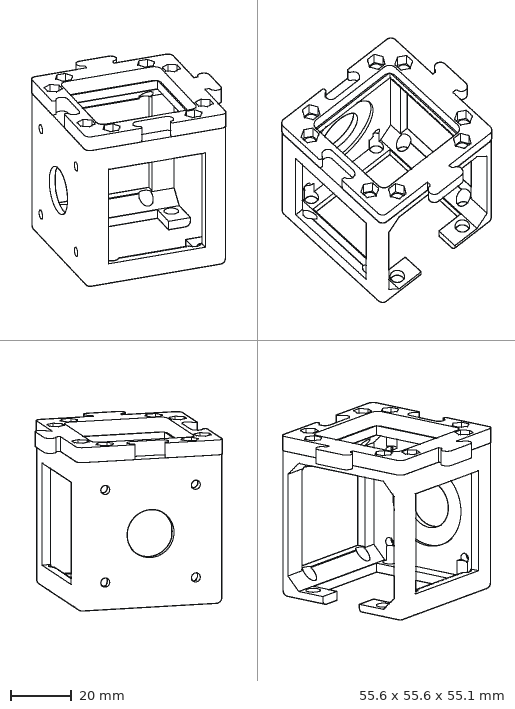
import cadquery as cq
import math

BODY_WIDTH = 49.8
HALF_BODY = BODY_WIDTH / 2
BODY_TOP = 25.1
BODY_BOTTOM = -25.0
EDGE_RADIUS = 2.0
WALL = 3.0

CAVITY_WIDTH = BODY_WIDTH - 2 * WALL
CAVITY_CHAMFER = 4.5

WINDOW_WIDTH = 34.2
REAR_GAP_WIDTH = 15.0

SHAFT_DIAMETER = 16.0
PILOT_DIAMETER = 28.0
MOTOR_SCREW_DIAMETER = 3.0
MOTOR_SCREW_SPACING = 31.0
PILOT_DEPTH = 1.0

PLATE_WIDTH = 50.0
PLATE_THICKNESS = 5.0
PLATE_OPENING = 35.2
PLATE_OPENING_RADIUS = 2.5
PLATE_EDGE_RADIUS = 2.0

TAB_LENGTH = 5.6
TAB_HEAD_WIDTH = 14.1
TAB_NECK_WIDTH = 9.7
TAB_NECK_FILLET = 0.6
SOCKET_DEPTH = 5.4
SOCKET_NECK_WIDTH = 10.4
SOCKET_NECK_FILLET = 0.5
SOCKET_MOUTH_RADIUS = 0.5
HEAD_RADIUS = 2.0

FASTENER_DIAMETER = 4.7
FASTENER_OFFSET = 20.9
FASTENER_SPACING = 29.0
FASTENER_DEPTH = 8.0
DRILL_POINT_ANGLE = 118.0
NUT_CORNER_DIAMETER = 6.0


def box_between(x_range, y_range, z_range):
    """Axis-aligned box given by its limits."""
    size = [high - low for low, high in (x_range, y_range, z_range)]
    corner = (x_range[0], y_range[0], z_range[0])
    return cq.Workplane("XY").box(*size, centered=False).translate(corner)


def make_body():
    height = BODY_TOP - BODY_BOTTOM
    block = cq.Workplane("XY").workplane(offset=BODY_BOTTOM).rect(BODY_WIDTH, BODY_WIDTH).extrude(height)
    return block.edges("|Z").fillet(EDGE_RADIUS).faces("<Z").edges().fillet(EDGE_RADIUS)


def make_cavity():
    tunnel = cq.Workplane("XY").box(CAVITY_WIDTH, BODY_WIDTH, CAVITY_WIDTH)
    return tunnel.edges("|Y").chamfer(CAVITY_CHAMFER).translate((0, WALL, 0))


def make_windows():
    """Openings through both X walls, through floor and ceiling, and the gap in the rear of the floor."""
    half = WINDOW_WIDTH / 2
    side = cq.Workplane("XY").box(2 * BODY_WIDTH, WINDOW_WIDTH, WINDOW_WIDTH)
    vertical = cq.Workplane("XY").box(WINDOW_WIDTH, WINDOW_WIDTH, 2 * BODY_WIDTH)
    half_gap = REAR_GAP_WIDTH / 2
    gap = box_between((-half_gap, half_gap), (0, HALF_BODY), (BODY_BOTTOM, -half))
    return side.union(vertical).union(gap)


def motor_bore(diameter, points, start_y):
    """Bores along +Y beginning at start_y."""
    plane = cq.Workplane("XZ", origin=(0, start_y, 0))
    return plane.pushPoints(points).circle(diameter / 2).extrude(-WALL)


def make_motor_mount():
    """Shaft hole with its pilot recess on the inside, and four screw holes."""
    half = MOTOR_SCREW_SPACING / 2
    screws = [(x, z) for x in (-half, half) for z in (-half, half)]
    pilot_y = -HALF_BODY + WALL - PILOT_DEPTH
    cut = motor_bore(SHAFT_DIAMETER, [(0, 0)], -HALF_BODY)
    cut = cut.union(motor_bore(PILOT_DIAMETER, [(0, 0)], pilot_y))
    return cut.union(motor_bore(MOTOR_SCREW_DIAMETER, screws, -HALF_BODY))


def dovetail(length, neck_width, neck_fillet, mouth_radius=0.0):
    """Mushroom shape that grows from y = 0 to y = length, with a filleted neck and a round-ended head.

    A mouth radius flares the start of the neck, to round the lips of a socket.
    """
    neck = neck_width / 2
    arc_x = TAB_HEAD_WIDTH / 2 - HEAD_RADIUS
    arc_y = length - HEAD_RADIUS
    fillet_x = neck + neck_fillet
    reach = HEAD_RADIUS + neck_fillet
    fillet_y = arc_y - math.sqrt(reach ** 2 - (fillet_x - arc_x) ** 2)
    touch_x = arc_x + (fillet_x - arc_x) * HEAD_RADIUS / reach
    touch_y = arc_y + (fillet_y - arc_y) * HEAD_RADIUS / reach
    turn = math.atan2(arc_y - fillet_y, arc_x - fillet_x)
    mid_angle = (turn + math.pi) / 2
    mid_x = fillet_x + neck_fillet * math.cos(mid_angle)
    mid_y = fillet_y + neck_fillet * math.sin(mid_angle)
    outline = cq.Workplane("XY", origin=(0, 0, BODY_TOP)).lineTo(neck + mouth_radius, 0)
    if mouth_radius > 0:
        mouth_inset = mouth_radius * (1 - math.sqrt(0.5))
        outline = outline.threePointArc((neck + mouth_inset, mouth_inset), (neck, mouth_radius))
    outline = (
        outline.lineTo(neck, fillet_y)
        .threePointArc((mid_x, mid_y), (touch_x, touch_y))
        .threePointArc((arc_x + HEAD_RADIUS, arc_y), (arc_x, length))
        .lineTo(0, length)
        .close()
    )
    right_half = outline.extrude(PLATE_THICKNESS)
    return right_half.union(right_half.mirror("YZ"))


def make_plate():
    """Square frame with tabs on +Y and -X and matching sockets on -Y and +X."""
    half_plate = PLATE_WIDTH / 2
    base = cq.Workplane("XY", origin=(0, 0, BODY_TOP))
    plate = base.rect(PLATE_WIDTH, PLATE_WIDTH).extrude(PLATE_THICKNESS)
    plate = plate.edges("|Z").fillet(PLATE_EDGE_RADIUS)
    opening = base.rect(PLATE_OPENING, PLATE_OPENING).extrude(PLATE_THICKNESS)
    plate = plate.cut(opening.edges("|Z").fillet(PLATE_OPENING_RADIUS))
    tab = dovetail(TAB_LENGTH, TAB_NECK_WIDTH, TAB_NECK_FILLET).translate((0, half_plate, 0))
    socket = dovetail(SOCKET_DEPTH, SOCKET_NECK_WIDTH, SOCKET_NECK_FILLET, SOCKET_MOUTH_RADIUS)
    socket = socket.translate((0, -half_plate, 0))
    for turn in (0, 90):
        plate = plate.union(tab.rotate((0, 0, 0), (0, 0, 1), turn))
        plate = plate.cut(socket.rotate((0, 0, 0), (0, 0, 1), turn))
    return plate


def fastener_bore(start_z, direction):
    """Blind bore on the Z axis with a drill-point end, running up (+1) or down (-1) from start_z."""
    radius = FASTENER_DIAMETER / 2
    end_z = start_z + direction * FASTENER_DEPTH
    point_height = radius / math.tan(math.radians(DRILL_POINT_ANGLE / 2))
    tip_z = end_z + direction * point_height
    points = [(0, start_z), (radius, start_z), (radius, end_z), (0, tip_z)]
    profile = cq.Workplane("XZ").polyline(points).close()
    return profile.revolve(360, (0, 0), (0, 1))


def make_fastener_holes():
    """Nut pockets through the plate, with bores into the top and the bottom of the body."""
    nut = cq.Workplane("XY", origin=(0, 0, BODY_TOP)).polygon(6, NUT_CORNER_DIAMETER).extrude(PLATE_THICKNESS)
    hole = nut.union(fastener_bore(BODY_TOP, -1)).union(fastener_bore(BODY_BOTTOM, 1))
    holes = cq.Workplane("XY")
    for turn in (0, 90, 180, 270):
        for side in (-1, 1):
            placed = hole.translate((side * FASTENER_SPACING / 2, FASTENER_OFFSET, 0))
            holes = holes.add(placed.rotate((0, 0, 0), (0, 0, 1), turn))
    return holes.combine()


body = make_body().cut(make_cavity()).cut(make_windows()).cut(make_motor_mount())
result = body.union(make_plate()).cut(make_fastener_holes())